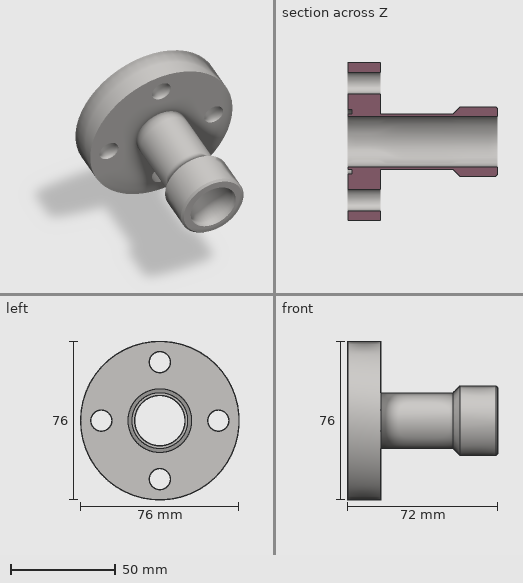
import cadquery as cq

total_length = 72.0
flange_thickness = 16.0
head_cylinder_start = 53.8
end_chamfer = 1.0

flange_diameter = 76.0
tube_diameter = 26.7
head_diameter = 33.4
bore_diameter = 24.0

groove_outer_diameter = 30.5
groove_depth = 2.0

bolt_circle_diameter = 56.0
bolt_hole_diameter = 10.0
bolt_hole_count = 4


def make_body():
    """Revolve the flange, tube and head about the X axis."""
    flange_radius = flange_diameter / 2
    tube_radius = tube_diameter / 2
    head_radius = head_diameter / 2
    shoulder_start = head_cylinder_start - (head_radius - tube_radius)
    profile = (
        cq.Workplane("XY")
        .moveTo(0, 0)
        .lineTo(0, flange_radius)
        .lineTo(flange_thickness, flange_radius)
        .lineTo(flange_thickness, tube_radius)
        .lineTo(shoulder_start, tube_radius)
        .lineTo(head_cylinder_start, head_radius)
        .lineTo(total_length - end_chamfer, head_radius)
        .lineTo(total_length, head_radius - end_chamfer)
        .lineTo(total_length, 0)
        .close()
    )
    return profile.revolve(360, (0, 0, 0), (1, 0, 0))


def make_bore():
    """Straight bore through the whole length."""
    return cq.Workplane("YZ").circle(bore_diameter / 2).extrude(total_length)


def make_mouth_groove():
    """Ring-shaped groove in the flange face, leaving the tube end flush with the face."""
    return (
        cq.Workplane("YZ")
        .circle(groove_outer_diameter / 2)
        .circle(tube_diameter / 2)
        .extrude(groove_depth)
    )


def make_bolt_holes():
    """Holes through the flange, evenly spaced on the bolt circle."""
    return (
        cq.Workplane("YZ")
        .polarArray(bolt_circle_diameter / 2, 0, 360, bolt_hole_count)
        .circle(bolt_hole_diameter / 2)
        .extrude(flange_thickness)
    )


result = make_body().cut(make_bore()).cut(make_mouth_groove()).cut(make_bolt_holes())